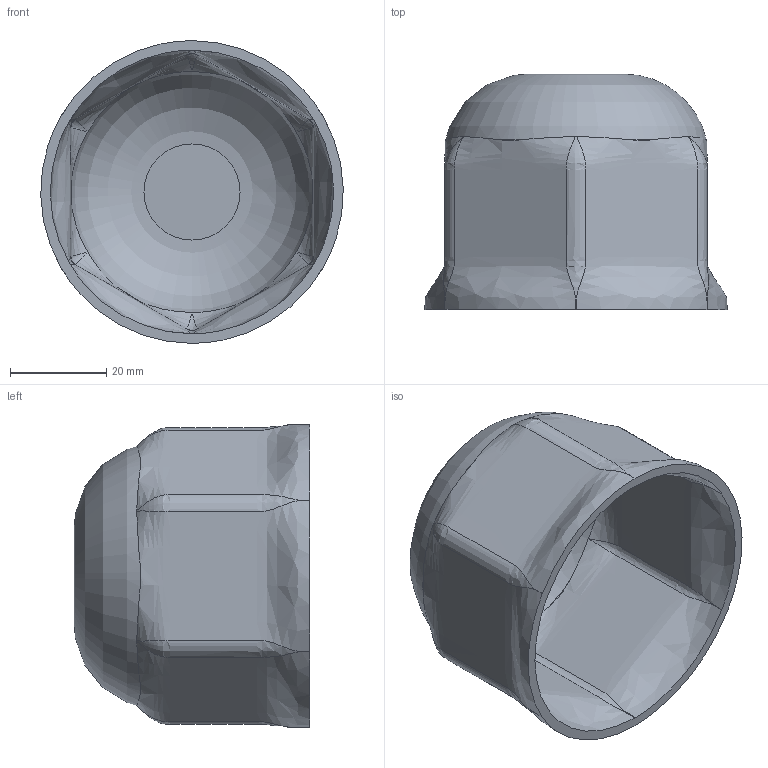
import math

import cadquery as cq

SIDES = 6
HALF_SIDE_ANGLE = math.pi / SIDES
SIDE_ANGLE = 2 * HALF_SIDE_ANGLE
RIM_RADIUS = 31.5
LENGTH = 49.0
WALL = 2.0
CORNER_FILLET = 4.0
APOTHEM = RIM_RADIUS * math.cos(HALF_SIDE_ANGLE)

RIM_HEIGHT = 1.5
FLARE_TOP = 10.0
FLARE_STEPS = 8

BODY_STEPS = 20

SHOULDER_BASE = 30.0
SHOULDER_HEIGHT = 6.0
SHOULDER_STEPS = 12
CORNER_DROP = 4.5
CORNER_CURVE_POWER = 1.45
SIDE_TUCK = 0.6
SIDE_TUCK_POWER = 12

CROWN_RADIUS = 10.0
DOME_RADIUS = 17.6
DOME_START_ANGLE = math.radians(12.7)
DOME_BASE = LENGTH - DOME_RADIUS

MAX_ROUNDNESS = 0.997


def polar(radius, angle):
    return (radius * math.cos(angle), radius * math.sin(angle))


def section(height, corner_radius, roundness, inset):
    """Wire of six sides joined by corner arcs, moved inwards by the inset.

    Roundness 0 gives flat sides, 1 gives a circle through the sharp corners at corner_radius.
    """
    flat_apothem = corner_radius * math.cos(HALF_SIDE_ANGLE)
    sagitta = roundness * (corner_radius - flat_apothem)
    apothem = flat_apothem + sagitta
    half_side = corner_radius * math.sin(HALF_SIDE_ANGLE)
    if roundness > 0:
        side_radius = (half_side**2 + sagitta**2) / (2 * sagitta)
        side_center = apothem - side_radius
        reach = side_radius - CORNER_FILLET
        fillet_center = side_center * math.cos(HALF_SIDE_ANGLE) + math.sqrt(
            reach**2 - (side_center * math.sin(HALF_SIDE_ANGLE)) ** 2
        )
        center_x, center_y = polar(fillet_center, HALF_SIDE_ANGLE)
        normal_angle = math.atan2(center_y, center_x - side_center)
    else:
        fillet_center = (apothem - CORNER_FILLET) / math.cos(HALF_SIDE_ANGLE)
        center_x, center_y = polar(fillet_center, HALF_SIDE_ANGLE)
        normal_angle = 0.0

    fillet = CORNER_FILLET - inset
    offset_x, offset_y = polar(fillet, normal_angle)
    end_radius = math.hypot(center_x + offset_x, center_y + offset_y)
    end_angle = math.atan2(center_y + offset_y, center_x + offset_x)

    outline = cq.Workplane("XY", origin=(0, 0, height)).moveTo(*polar(end_radius, -end_angle))
    for side in range(SIDES):
        facing = SIDE_ANGLE * side
        side_end = polar(end_radius, facing + end_angle)
        if roundness > 0:
            outline = outline.threePointArc(polar(apothem - inset, facing), side_end)
        else:
            outline = outline.lineTo(*side_end)
        corner_middle = polar(fillet_center + fillet, facing + HALF_SIDE_ANGLE)
        next_side = polar(end_radius, facing + SIDE_ANGLE - end_angle)
        outline = outline.threePointArc(corner_middle, next_side)
    return outline.close().val()


def flare_sections(inset):
    """S-shaped run from the rim circle to the hexagon."""
    wires = [section(0, RIM_RADIUS, MAX_ROUNDNESS, inset)]
    for step in range(FLARE_STEPS):
        travel = step / FLARE_STEPS
        height = RIM_HEIGHT + travel * (FLARE_TOP - RIM_HEIGHT)
        roundness = MAX_ROUNDNESS * (1 + math.cos(math.pi * travel)) / 2
        wires.append(section(height, RIM_RADIUS, roundness, inset))
    return wires


def body_sections(inset):
    """Straight hexagonal run with rounded corners."""
    spacing = (SHOULDER_BASE - FLARE_TOP) / BODY_STEPS
    return [section(FLARE_TOP + step * spacing, RIM_RADIUS, 0, inset) for step in range(BODY_STEPS + 1)]


def shoulder_sections(inset):
    """The corners curve in while the sides stay nearly straight, ending close to a circle."""
    wires = []
    rise = SHOULDER_HEIGHT - inset * math.sin(DOME_START_ANGLE)
    for step in range(1, SHOULDER_STEPS + 1):
        travel = step / SHOULDER_STEPS
        corner_radius = RIM_RADIUS - CORNER_DROP * travel**CORNER_CURVE_POWER
        flat_apothem = corner_radius * math.cos(HALF_SIDE_ANGLE)
        bulge = APOTHEM - SIDE_TUCK * travel**SIDE_TUCK_POWER - flat_apothem
        roundness = min(bulge / (corner_radius - flat_apothem), MAX_ROUNDNESS)
        wires.append(section(SHOULDER_BASE + rise * travel, corner_radius, roundness, inset))
    return wires


def wall(inset):
    """Rim, body and shoulder as one smooth skin, so each side is a single face."""
    wires = flare_sections(inset) + body_sections(inset) + shoulder_sections(inset)
    return cq.Workplane(cq.Solid.makeLoft(wires))


def dome(inset):
    """Solid of revolution filling the top of the wall and closing it."""
    radius = DOME_RADIUS - inset
    start_x, start_y = polar(radius, DOME_START_ANGLE)
    middle_x, middle_y = polar(radius, math.pi / 4)
    return (
        cq.Workplane("XZ")
        .moveTo(0, SHOULDER_BASE)
        .lineTo(CROWN_RADIUS + start_x, SHOULDER_BASE)
        .lineTo(CROWN_RADIUS + start_x, DOME_BASE + start_y)
        .threePointArc((CROWN_RADIUS + middle_x, DOME_BASE + middle_y), (CROWN_RADIUS, DOME_BASE + radius))
        .lineTo(0, DOME_BASE + radius)
        .close()
        .revolve(360, (0, 0), (0, 1))
    )


def form(inset):
    """Solid cap shape, moved inwards from the outer skin by the inset."""
    return wall(inset).union(dome(inset))


result = form(0).cut(form(WALL)).rotate((0, 0, 0), (1, 0, 0), -90)